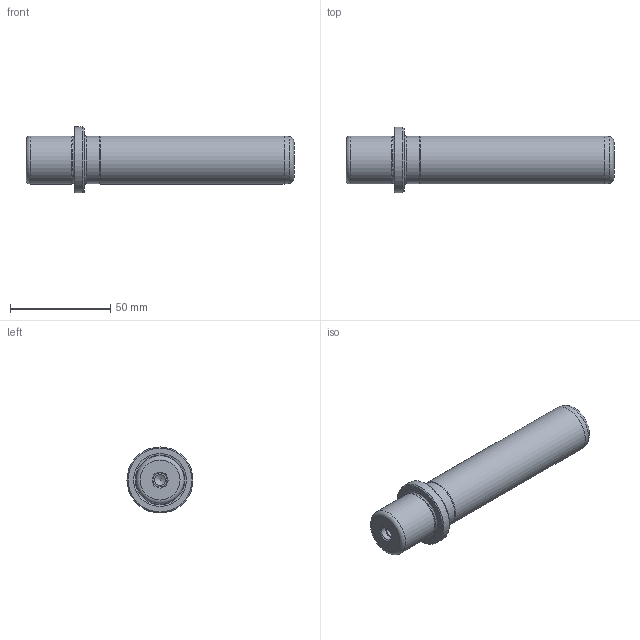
import cadquery as cq
import math


shaft_radius = 24.0 / 2
spigot_length = 24.0
shaft_end = 110.0

flange_radius = 33.0 / 2
flange_width = 5.0
flange_chamfer = 0.5

spigot_end_fillet = 2.0

undercut_length = 1.3
undercut_depth = 0.3
undercut_face_depth = 0.2
undercut_face_radius = 13.2
undercut_fillet = 0.7

neck_depth = 0.1
neck_radius = shaft_radius - neck_depth
neck_fillet = 1.5
neck_end = 13.3
neck_ramp = 0.4

lead_in_length = 5.0
lead_in_drop = 0.35
lead_in_taper_length = 2.6

bore_radius = 3.5
bore_depth = 3.2
bore_chamfer = 0.5
pilot_radius = 2.8
pilot_depth = 12.0
drill_point_angle = 118.0


OUTWARD_AND_BACK = 135
INWARD_AND_BACK = -135
INWARD_AND_FORWARD = -45


def arc_middle(center, radius, angle_degrees):
    """Point on a circle in the (axial, radial) plane, at an angle from the +X direction."""
    angle = math.radians(angle_degrees)
    return (center[0] + radius * math.cos(angle), center[1] + radius * math.sin(angle))


def revolve(profile):
    """Turn a half profile drawn in (axial, radial) coordinates about the X axis."""
    return profile.close().revolve(360, (0, 0, 0), (1, 0, 0))


def make_body():
    """Spigot, flange and shaft as one turned solid."""
    spigot_face = -spigot_length
    spigot_round_center = (spigot_face + spigot_end_fillet, shaft_radius - spigot_end_fillet)

    undercut_floor = shaft_radius - undercut_depth
    undercut_round_center = (undercut_face_depth - undercut_fillet, undercut_floor + undercut_fillet)

    neck_round_center = (flange_width + neck_fillet, neck_radius + neck_fillet)

    taper_start = shaft_end - lead_in_length
    taper_end = taper_start + lead_in_taper_length
    taper_angle = math.degrees(math.atan2(lead_in_drop, lead_in_taper_length))
    round_start_angle = 90 - taper_angle
    round_axial = shaft_end - taper_end
    end_round = round_axial / (1 - math.cos(math.radians(round_start_angle)))
    taper_end_radius = shaft_radius - lead_in_drop
    end_face_radius = taper_end_radius - end_round * math.sin(math.radians(round_start_angle))
    end_round_center = (shaft_end - end_round, end_face_radius)

    profile = (
        cq.Workplane("XY")
        .moveTo(spigot_face, 0)
        .lineTo(spigot_face, spigot_round_center[1])
        .threePointArc(
            arc_middle(spigot_round_center, spigot_end_fillet, OUTWARD_AND_BACK),
            (spigot_round_center[0], shaft_radius),
        )
        .lineTo(-undercut_length, shaft_radius)
        .lineTo(undercut_round_center[0], undercut_floor)
        .threePointArc(
            arc_middle(undercut_round_center, undercut_fillet, INWARD_AND_FORWARD),
            (undercut_face_depth, undercut_round_center[1]),
        )
        .lineTo(0, undercut_face_radius)
        .lineTo(0, flange_radius - flange_chamfer)
        .lineTo(flange_chamfer, flange_radius)
        .lineTo(flange_width - flange_chamfer, flange_radius)
        .lineTo(flange_width, flange_radius - flange_chamfer)
        .lineTo(flange_width, neck_round_center[1])
        .threePointArc(
            arc_middle(neck_round_center, neck_fillet, INWARD_AND_BACK),
            (neck_round_center[0], neck_radius),
        )
        .lineTo(neck_end - neck_ramp, neck_radius)
        .lineTo(neck_end, shaft_radius)
        .lineTo(taper_start, shaft_radius)
        .lineTo(taper_end, taper_end_radius)
        .threePointArc(
            arc_middle(end_round_center, end_round, round_start_angle / 2),
            (shaft_end, end_face_radius),
        )
        .lineTo(shaft_end, 0)
    )
    return revolve(profile)


def make_hole():
    """Chamfered bore, then a narrower pilot hole ending in a drill point."""
    mouth = -spigot_length
    drill_point = pilot_radius / math.tan(math.radians(drill_point_angle / 2))
    profile = (
        cq.Workplane("XY")
        .moveTo(mouth, 0)
        .lineTo(mouth, bore_radius + bore_chamfer)
        .lineTo(mouth + bore_chamfer, bore_radius)
        .lineTo(mouth + bore_depth, bore_radius)
        .lineTo(mouth + bore_depth, pilot_radius)
        .lineTo(mouth + pilot_depth, pilot_radius)
        .lineTo(mouth + pilot_depth + drill_point, 0)
    )
    return revolve(profile)


result = make_body().cut(make_hole())